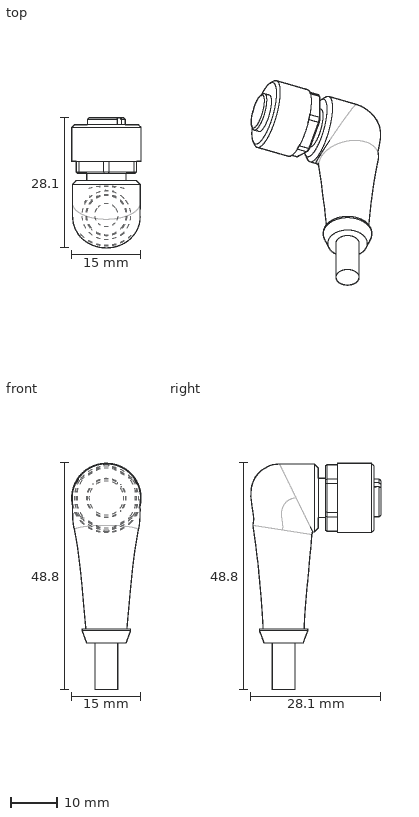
import cadquery as cq
import math


INSERT_END_Y = 21.0
COLLAR_FRONT_Y = 19.5
COLLAR_REAR_Y = 11.6
HEX_REAR_Y = 9.0
HOOD_FRONT_Y = 7.5

INSERT_DIAMETER = 8.2
INSERT_CHAMFER = 0.4
KEYWAY_DIAMETER = 1.2
KEYWAY_ANGLE = 45.0
COLLAR_DIAMETER = 15.0
COLLAR_CHAMFER = 0.6
HEX_ACROSS_FLATS = 13.0
HEX_CORNER_DIAMETER = 14.4
HEX_CHAMFER = 0.3
NECK_DIAMETER = 8.5

HOOD_RADIUS = 7.35
HOOD_CHAMFER = 0.9

ELBOW_TOP = ((-0.9, HOOD_RADIUS), (6.3, -HOOD_RADIUS), HOOD_RADIUS)
BEND_CENTRE = (-0.9, 1.15)
BEND_RADIUS = HOOD_RADIUS - BEND_CENTRE[1]
BEND_ANGLES = (30.0, 60.0, 90.0)
BEND_HALF_WIDTH = 7.3
BEND_INNER_POINT = (6.2, -7.45)
BEND_INNER_STEP = 0.1
ELBOW_BOTTOM = ((-6.65, -5.9), (6.1, -7.9), 6.9)

GRIP_END_Z = -28.2
GRIP_END_RADIUS = 4.45
GRIP_SECTIONS = (
    (-14.5, 5.75, 5.55),
    (-21.0, 5.1, 4.95),
    (GRIP_END_Z, GRIP_END_RADIUS, GRIP_END_RADIUS),
)

BOOT_DIAMETER = 10.5
BOOT_RIM_HEIGHT = 0.4
BOOT_END_DIAMETER = 8.5
BOOT_END_Z = -31.3
CABLE_DIAMETER = 5.0
CABLE_END_Z = -41.3


def disc_along_y(diameter, y_front, y_rear):
    """Cylinder on the plug axis between two Y stations, front being the larger Y."""
    plane = cq.Plane(origin=(0, y_front, 0), xDir=(1, 0, 0), normal=(0, -1, 0))
    return cq.Workplane(plane).circle(diameter / 2).extrude(y_front - y_rear)


def make_insert():
    """Contact insert with a round keyway along its outer surface."""
    insert = disc_along_y(INSERT_DIAMETER, INSERT_END_Y, COLLAR_FRONT_Y)
    insert = insert.faces(">Y").chamfer(INSERT_CHAMFER)
    angle = math.radians(KEYWAY_ANGLE)
    radius = INSERT_DIAMETER / 2
    keyway = disc_along_y(KEYWAY_DIAMETER, INSERT_END_Y, COLLAR_FRONT_Y)
    return insert.cut(keyway.translate((radius * math.cos(angle), 0, radius * math.sin(angle))))


def make_collar():
    """Round coupling collar, chamfered at the mating end."""
    collar = disc_along_y(COLLAR_DIAMETER, COLLAR_FRONT_Y, COLLAR_REAR_Y)
    return collar.faces(">Y").chamfer(COLLAR_CHAMFER)


def make_hex():
    """Spanner hexagon with flats facing +X and -X and its corners turned round."""
    plane = cq.Plane(origin=(0, COLLAR_REAR_Y, 0), xDir=(0, 0, 1), normal=(0, -1, 0))
    across_corners = HEX_ACROSS_FLATS / math.cos(math.pi / 6)
    hexagon = cq.Workplane(plane).polygon(6, across_corners).extrude(COLLAR_REAR_Y - HEX_REAR_Y)
    blank = disc_along_y(HEX_CORNER_DIAMETER, COLLAR_REAR_Y, HEX_REAR_Y)
    return hexagon.intersect(blank).faces("<Y").chamfer(HEX_CHAMFER)


def make_hood():
    """Round hood behind the neck, cut off on the slant where the elbow begins."""
    outer, inner, _ = ELBOW_TOP
    hood = disc_along_y(2 * HOOD_RADIUS, HOOD_FRONT_Y, outer[0])
    hood = hood.faces(">Y").chamfer(HOOD_CHAMFER)
    keep_outline = [outer, inner, (HOOD_FRONT_Y, inner[1]), (HOOD_FRONT_Y, outer[1])]
    keep = cq.Workplane("YZ").polyline(keep_outline).close().extrude(HOOD_RADIUS, both=True)
    return hood.intersect(keep)


def ellipse_wire(outer, inner, half_width):
    """Ellipse across the YZ plane that spans from an outer to an inner (y, z) point."""
    dy = inner[0] - outer[0]
    dz = inner[1] - outer[1]
    centre = cq.Vector(0, (outer[0] + inner[0]) / 2, (outer[1] + inner[1]) / 2)
    normal = cq.Vector(0, -dz, dy)
    half_span = math.hypot(dy, dz) / 2
    return cq.Wire.makeEllipse(half_width, half_span, centre, normal, cq.Vector(1, 0, 0))


def make_elbow():
    """Smooth bend from the slanted end of the hood to the top of the grip."""
    wires = [ellipse_wire(*ELBOW_TOP)]
    for index, degrees in enumerate(BEND_ANGLES):
        angle = math.radians(degrees)
        outer = (
            BEND_CENTRE[0] - BEND_RADIUS * math.sin(angle),
            BEND_CENTRE[1] + BEND_RADIUS * math.cos(angle),
        )
        inner = (BEND_INNER_POINT[0], BEND_INNER_POINT[1] - index * BEND_INNER_STEP)
        wires.append(ellipse_wire(outer, inner, BEND_HALF_WIDTH))
    wires.append(ellipse_wire(*ELBOW_BOTTOM))
    return cq.Workplane(obj=cq.Solid.makeLoft(wires))


def make_grip():
    """Tapered grip from the slanted elbow end down to a circle at the boot ring."""
    wires = [ellipse_wire(*ELBOW_BOTTOM)]
    for z, half_width, half_depth in GRIP_SECTIONS:
        wires.append(ellipse_wire((-half_depth, z), (half_depth, z), half_width))
    return cq.Workplane(obj=cq.Solid.makeLoft(wires))


def make_boot_and_cable():
    """Conical boot ring with a short rim, and the cable leaving it."""
    outline = [
        (0, GRIP_END_Z),
        (BOOT_DIAMETER / 2, GRIP_END_Z),
        (BOOT_DIAMETER / 2, GRIP_END_Z - BOOT_RIM_HEIGHT),
        (BOOT_END_DIAMETER / 2, BOOT_END_Z),
        (CABLE_DIAMETER / 2, BOOT_END_Z),
        (CABLE_DIAMETER / 2, CABLE_END_Z),
        (0, CABLE_END_Z),
    ]
    return cq.Workplane("XZ").polyline(outline).close().revolve(360, (0, 0, 0), (0, 1, 0))


neck = disc_along_y(NECK_DIAMETER, HEX_REAR_Y, HOOD_FRONT_Y)
body = make_hood().union(make_elbow()).union(make_grip())
plug = make_insert().union(make_collar()).union(make_hex()).union(neck)
result = plug.union(body).union(make_boot_and_cable())